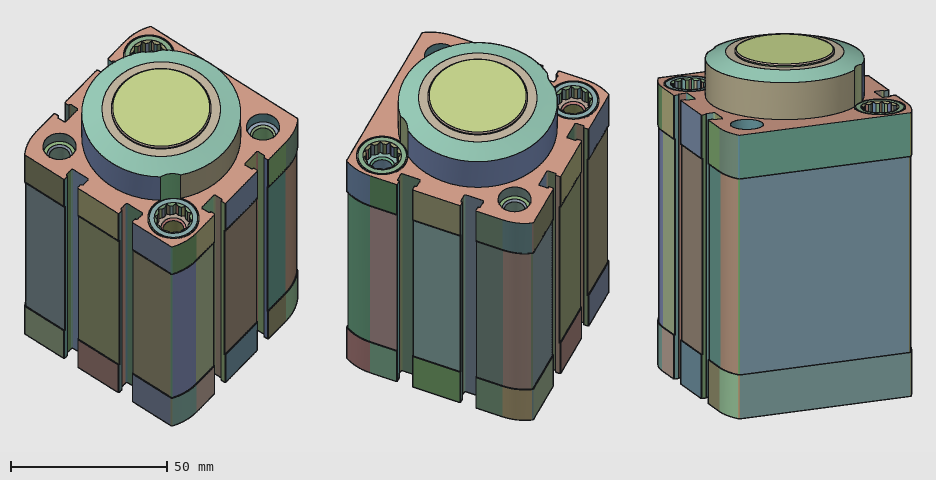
import cadquery as cq
import math

total_height = 111.0
housing_width = 65.5
housing_top = 95.5
cap_height = 14.8
barrel_inset = 0.3

corner_arc_depth = 2.8
corner_arc_radius = 17.8
corner_tip_radius = 0.7

slot_offset = 11.1
slot_opening = 5.3
slot_cavity_width = 6.8
slot_cavity_fillet = 0.4
slot_lip = 1.8
slot_depth = 5.0
slot_mouth_chamfer = 0.2

collar_diameter = 51.0
collar_top_diameter = 38.0
collar_top = 110.1
collar_cone_height = 2.2

rod_diameter = 32.0
rod_chamfer = 0.4
rod_bottom = housing_top

hole_offset = 23.2
bore_diameter = 6.7
countersink_diameter = 8.0
countersink_height = 0.7
counterbore_diameter = 10.5
counterbore_depth = 4.3

screw_diameter = 16.4
screw_rim_chamfer = 0.4
socket_inner_diameter = 10.5
socket_outer_diameter = 12.0
socket_mouth_diameter = 12.3
socket_depth = 5.2
socket_mouth_slope = 30.0
socket_points = 12
socket_notch_half_angle = 9.0

corner_centre_x = housing_width / 2 - corner_arc_radius
corner_centre_y = housing_width / 2 - math.sqrt(
    corner_arc_radius**2 - (corner_arc_radius - corner_arc_depth) ** 2
)

barrel_width = housing_width - 2 * barrel_inset
plain_hole_places = [(-hole_offset, -hole_offset), (hole_offset, hole_offset)]
screw_places = [(-hole_offset, hole_offset), (hole_offset, -hole_offset)]


def cylinder(diameter, bottom, top, place=(0, 0)):
    return cq.Workplane("XY", origin=(*place, bottom)).circle(diameter / 2).extrude(top - bottom)


def cone(bottom_diameter, top_diameter, bottom, top, place=(0, 0)):
    """Truncated cone with a vertical axis through the given place."""
    solid = cq.Solid.makeCone(
        bottom_diameter / 2, top_diameter / 2, top - bottom, pnt=cq.Vector(*place, bottom)
    )
    return cq.Workplane(obj=solid)


def profile_block(width, bottom, top):
    """Square block whose four long edges are arcs tangent to the X sides."""
    half = width / 2
    radius = half - corner_centre_x
    tip_angle = math.asin((half - corner_centre_y) / radius)
    tip_x = corner_centre_x + radius * math.cos(tip_angle)
    middle_x = corner_centre_x + radius * math.cos(tip_angle / 2)
    middle_y = corner_centre_y + radius * math.sin(tip_angle / 2)
    outline = (
        cq.Workplane("XY", origin=(0, 0, bottom))
        .moveTo(half, -corner_centre_y)
        .lineTo(half, corner_centre_y)
        .threePointArc((middle_x, middle_y), (tip_x, half))
        .lineTo(-tip_x, half)
        .threePointArc((-middle_x, middle_y), (-half, corner_centre_y))
        .lineTo(-half, -corner_centre_y)
        .threePointArc((-middle_x, -middle_y), (-tip_x, -half))
        .lineTo(tip_x, -half)
        .threePointArc((middle_x, -middle_y), (half, -corner_centre_y))
        .close()
    )
    block = outline.extrude(top - bottom)
    y_side_edges = block.faces("<Y or >Y").edges("|Z")
    return y_side_edges.fillet(corner_tip_radius)


def slot_mouth_cutter(width, bottom, top):
    """Wedge that bevels both lips of a slot, at the -Y side of a block of the given width."""
    outer_y = -width / 2
    inner_half = slot_opening / 2
    outer_half = inner_half + slot_mouth_chamfer
    points = [
        (-outer_half, outer_y),
        (outer_half, outer_y),
        (inner_half, outer_y + slot_mouth_chamfer),
        (-inner_half, outer_y + slot_mouth_chamfer),
    ]
    return cq.Workplane("XY", origin=(0, 0, bottom)).polyline(points).close().extrude(top - bottom)


def slot_cutter(side_angle, offset):
    """T-slot over the full housing height, on the -Y side turned by side_angle about Z."""
    outer_y = -housing_width / 2
    floor_y = outer_y + slot_depth
    lip_y = outer_y + slot_lip
    opening = cq.Workplane("XY").box(slot_opening, slot_depth, housing_top, centered=(True, False, False))
    cavity = cq.Workplane("XY").box(
        slot_cavity_width, floor_y - lip_y, housing_top, centered=(True, False, False)
    )
    cavity = cavity.edges("|Z").fillet(slot_cavity_fillet)
    cutter = opening.translate((offset, outer_y, 0)).union(cavity.translate((offset, lip_y, 0)))
    cutter = cutter.union(slot_mouth_cutter(housing_width, 0, housing_top).translate((offset, 0, 0)))
    barrel_mouth = slot_mouth_cutter(barrel_width, cap_height, housing_top - cap_height)
    cutter = cutter.union(barrel_mouth.translate((offset, 0, 0)))
    return cutter.rotate((0, 0, 0), (0, 0, 1), side_angle)


def bore_cutter(place, floor):
    """Through bore with a countersink that opens at the given floor level."""
    bore = cylinder(bore_diameter, 0, floor, place)
    return bore.union(cone(bore_diameter, countersink_diameter, floor - countersink_height, floor, place))


def plain_hole_cutter(place):
    floor = housing_top - counterbore_depth
    return bore_cutter(place, floor).union(cylinder(counterbore_diameter, floor, housing_top, place))


def socket_cutter(place):
    """Twelve-point socket with a conical mouth, and the bore below it."""
    floor = housing_top - socket_depth
    inner = socket_inner_diameter / 2
    outer = socket_outer_diameter / 2
    half_angle = math.radians(socket_notch_half_angle)
    socket = cylinder(socket_inner_diameter, floor, housing_top, place)
    notch_points = [
        (0, 0),
        (inner * math.cos(half_angle), -inner * math.sin(half_angle)),
        (outer, 0),
        (inner * math.cos(half_angle), inner * math.sin(half_angle)),
    ]
    notch = cq.Workplane("XY").polyline(notch_points).close().extrude(socket_depth)
    for index in range(socket_points):
        turned = notch.rotate((0, 0, 0), (0, 0, 1), index * 360 / socket_points)
        socket = socket.union(turned.translate((*place, floor)))
    mouth_height = (socket_mouth_diameter / 2 - inner) * math.tan(math.radians(socket_mouth_slope))
    mouth_bottom = housing_top - mouth_height
    mouth = cone(socket_inner_diameter, socket_mouth_diameter, mouth_bottom, housing_top, place)
    return socket.union(mouth).union(bore_cutter(place, floor))


def screw_rim_cutter(place):
    """Ring that clears the collar above the screw head and bevels the rim of the head."""
    clearance = cylinder(screw_diameter, housing_top - screw_rim_chamfer, total_height, place)
    head_rim = cone(
        screw_diameter,
        screw_diameter - 2 * screw_rim_chamfer,
        housing_top - screw_rim_chamfer,
        housing_top,
        place,
    )
    return clearance.cut(head_rim)


def make_housing():
    housing = profile_block(barrel_width, cap_height, housing_top - cap_height)
    housing = housing.union(profile_block(housing_width, 0, cap_height))
    housing = housing.union(profile_block(housing_width, housing_top - cap_height, housing_top))
    cone_bottom = collar_top - collar_cone_height
    housing = housing.union(cylinder(collar_diameter, housing_top, cone_bottom))
    housing = housing.union(cone(collar_diameter, collar_top_diameter, cone_bottom, collar_top))
    for side_angle in (-90, 0, 90):
        for offset in (-slot_offset, slot_offset):
            housing = housing.cut(slot_cutter(side_angle, offset))
    for place in plain_hole_places:
        housing = housing.cut(plain_hole_cutter(place))
    for place in screw_places:
        housing = housing.cut(screw_rim_cutter(place))
        housing = housing.cut(socket_cutter(place))
    housing = housing.cut(cylinder(rod_diameter, rod_bottom, total_height))
    return housing.solids()


def make_rod():
    return cylinder(rod_diameter, rod_bottom, total_height).faces(">Z").chamfer(rod_chamfer)


housing = make_housing()
rod = make_rod()
result = cq.Compound.makeCompound([housing.val(), rod.val()])